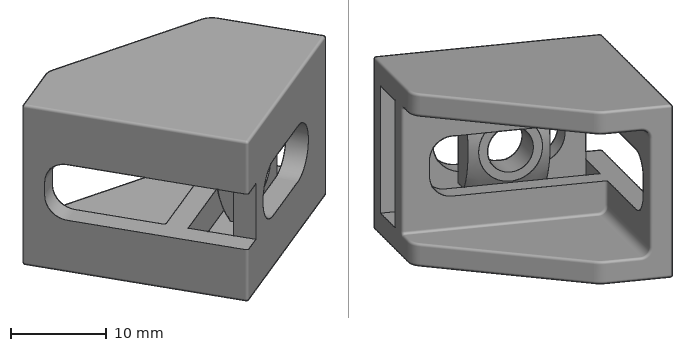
import cadquery as cq
import math

length = 25.0
height = 19.0
mid_z = height / 2

slope_end_x = 12.0
slope_start_y = 8.0
slope_corner_radius = 2.0

plate_thickness = 2.5
edge_radius = 0.3
opening_height = height - 2 * plate_thickness

inner_wall_x = 15.0
inner_wall_thickness = 2.5
pocket_corner_radius = 1.0

slot_width = 6.6
slot_corner_radius = 2.5
front_slot_start_x = 2.5
inner_slot_end_y = 22.0
nut_slot_length = 14.5

nut_side = 9.0
nut_bore = 5.0
nut_face_diameter = 7.0
nut_face_x = 18.5
nut_center_y = 12.0
nut_dome_radius = 9.0

cavity_start_x = inner_wall_x + inner_wall_thickness
outer_wall_x = length - plate_thickness
nut_thickness = outer_wall_x - nut_face_x


def box(x_range, y_range, z_size):
    """Box between two X and two Y positions, centred in Z."""
    x_size = x_range[1] - x_range[0]
    y_size = y_range[1] - y_range[0]
    return (
        cq.Workplane("XY")
        .box(x_size, y_size, z_size, centered=(False, False, True))
        .translate((x_range[0], y_range[0], 0))
    )


def make_blank():
    """Block with one sloped corner, its two slope ends rounded."""
    blank = (
        cq.Workplane("XY")
        .workplane(offset=-mid_z)
        .polyline([(0, 0), (length, 0), (length, length), (slope_end_x, length), (0, slope_start_y)])
        .close()
        .extrude(height)
    )
    slope_ends = [(0, slope_start_y, 0), (slope_end_x, length, 0)]
    for point in slope_ends:
        blank = blank.edges(cq.selectors.NearestToPointSelector(point)).fillet(slope_corner_radius)
    return blank


def make_pocket():
    """Space between the side plates, in front of the inner wall."""
    pocket = box((0, inner_wall_x), (plate_thickness, length), opening_height)
    return pocket.edges("|X and <Y").fillet(pocket_corner_radius)


def make_nut_cavity():
    """Space between the inner and outer walls, open towards +Y."""
    return box((cavity_start_x, outer_wall_x), (plate_thickness, length), opening_height)


def make_front_slot():
    """Slot through the front wall, rounded at -X and running out at +X."""
    slot = box((front_slot_start_x, length), (0, plate_thickness), slot_width)
    return slot.edges("|Y and <X").fillet(slot_corner_radius)


def make_inner_slot():
    """Slot through the inner wall and its floor fillet, from the front wall to a rounded +Y end."""
    slot = box((inner_wall_x - edge_radius, cavity_start_x), (plate_thickness, inner_slot_end_y), slot_width)
    return slot.edges("|X and >Y").fillet(slot_corner_radius)


def make_nut_slot():
    """Round-ended slot through the outer wall, centred on the nut."""
    return (
        cq.Workplane("YZ", origin=(outer_wall_x, nut_center_y, 0))
        .slot2D(nut_slot_length, slot_width)
        .extrude(plate_thickness)
    )


def make_housing():
    """Housing with rounded edges inside and out; the slots and the nut cavity keep sharp edges."""
    housing = make_blank().cut(make_pocket())
    housing = housing.edges().fillet(edge_radius)
    for opening in (make_nut_cavity(), make_front_slot(), make_inner_slot(), make_nut_slot()):
        housing = housing.cut(opening)
    return housing


def make_nut():
    """Square nut lying on the outer wall, domed around a flat round face at -X."""
    square = (
        cq.Workplane("YZ", origin=(nut_face_x, nut_center_y, 0))
        .rect(nut_side, nut_side)
        .extrude(nut_thickness)
    )
    dome_center_x = nut_face_x + math.sqrt(nut_dome_radius**2 - (nut_face_diameter / 2) ** 2)
    dome = cq.Workplane("XY").sphere(nut_dome_radius).translate((dome_center_x, nut_center_y, 0))
    bore = (
        cq.Workplane("YZ", origin=(nut_face_x, nut_center_y, 0))
        .circle(nut_bore / 2)
        .extrude(nut_thickness)
    )
    return square.intersect(dome).cut(bore)


housing = make_housing()
nut = make_nut()

result = cq.Compound.makeCompound([housing.val(), nut.val()])